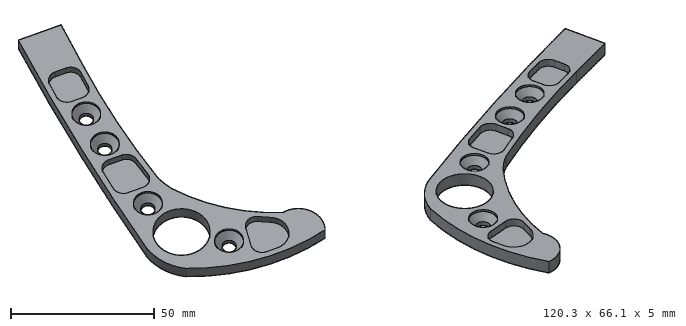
import cadquery as cq

thickness = 5.0
arm_end_width = 16.4
arm_straight_length = 19.2

heel_start = (100.0, 5.0)
heel_middle = (107.7, 8.2)
heel_end = (113.3, 14.1)
back_middle = (120.3, 45.1)
inner_curve_middle = (94.1, 36.2)
inner_curve_end = (80.0, 23.5)
armpit_middle = (76.9, 21.9)
armpit_end = (73.6, 20.8)

tip_radius = 9.4
tip_center = (114.2, 56.7)
tip_back_offset = 3.6
tip_inner_drop = 1.8

large_hole_diameter = 20.0
large_hole_center = (98.4, 19.0)
screw_hole_diameter = 5.0
screw_head_diameter = 2 * screw_hole_diameter
screw_head_recess = 0.8
screw_centers = [(38.5, 9.0), (52.9, 9.7), (82.4, 13.2), (108.5, 32.7)]

pocket_depth = 3.0
pocket_corner_radius = 4.0
hook_pocket_top_radius = 6.9
end_pocket_corners = [(17.7, 2.4), (31.6, 2.4), (31.6, 14.4), (17.7, 14.4)]
middle_pocket_corners = [(59.8, 4.1), (75.4, 4.9), (75.4, 19.0), (59.8, 16.6)]
hook_pocket_corners = [(100.5, 41.3), (118.1, 38.0), (118.1, 73.9)]


def tip_height(x_offset):
    """Height of the tip circle above its centre at an X offset."""
    return (tip_radius**2 - x_offset**2) ** 0.5


def tangent_radius(start, end):
    """Radius of the arc that leaves start parallel to X and reaches end."""
    run = end[0] - start[0]
    rise = end[1] - start[1]
    return (run**2 + rise**2) / (2 * rise)


def make_plate():
    center_x, center_y = tip_center
    tip_start = (center_x + tip_back_offset, center_y + tip_height(tip_back_offset))
    tip_middle = (center_x - tip_radius / 2, center_y + tip_height(tip_radius / 2))
    tip_end = (center_x - tip_height(tip_inner_drop), center_y - tip_inner_drop)

    lower_radius = tangent_radius((0, 0), heel_start)
    upper_start = (arm_straight_length, arm_end_width)
    upper_radius = tangent_radius(upper_start, armpit_end)

    return (
        cq.Workplane("XY")
        .radiusArc(heel_start, -lower_radius)
        .threePointArc(heel_middle, heel_end)
        .threePointArc(back_middle, tip_start)
        .threePointArc(tip_middle, tip_end)
        .threePointArc(inner_curve_middle, inner_curve_end)
        .threePointArc(armpit_middle, armpit_end)
        .radiusArc(upper_start, upper_radius)
        .lineTo(0, arm_end_width)
        .close()
        .extrude(thickness)
    )


def make_pocket(corners):
    """Cutter for a pocket open at the top face, with sharp corners."""
    floor = thickness - pocket_depth
    return cq.Workplane("XY").workplane(offset=floor).polyline(corners).close().extrude(pocket_depth)


def make_screw_hole(center):
    """Cutter for a through hole with a recessed 90 degree countersink."""
    hole_radius = screw_hole_diameter / 2
    head_radius = screw_head_diameter / 2
    cone_top = thickness - screw_head_recess
    cone_bottom = cone_top - (head_radius - hole_radius)
    profile = [
        (0, 0),
        (hole_radius, 0),
        (hole_radius, cone_bottom),
        (head_radius, cone_top),
        (head_radius, thickness),
        (0, thickness),
    ]
    cutter = cq.Workplane("XZ").polyline(profile).close().revolve(360, (0, 0, 0), (0, 1, 0))
    return cutter.translate(center + (0,))


result = make_plate()

large_hole = cq.Workplane("XY").center(*large_hole_center).circle(large_hole_diameter / 2)
result = result.cut(large_hole.extrude(thickness))

for screw_center in screw_centers:
    result = result.cut(make_screw_hole(screw_center))

for pocket_corners in (end_pocket_corners, middle_pocket_corners):
    arm_pocket = make_pocket(pocket_corners).edges("|Z").fillet(pocket_corner_radius)
    result = result.cut(arm_pocket)

hook_pocket = (
    make_pocket(hook_pocket_corners)
    .edges("|Z and >Y").fillet(hook_pocket_top_radius)
    .edges("|Z and (<X or <Y)").fillet(pocket_corner_radius)
)
result = result.cut(hook_pocket)